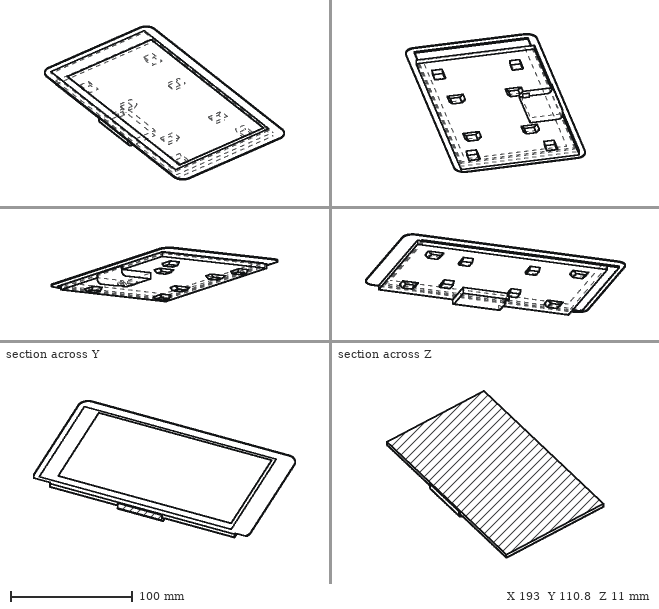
import cadquery as cq

GLASS_LENGTH = 193.0
GLASS_WIDTH = 110.8
GLASS_THICKNESS = 0.8
GLASS_CORNER_RADIUS = 8.7

WINDOW_LENGTH = 154.4
WINDOW_WIDTH = 86.3
WINDOW_CENTER_Y = 1.0
WINDOW_DEPTH = 0.1

LAYER_X = (-91.5, 79.9)
LAYER_Y = (-48.5, 47.5)
LAYER_BOTTOM = -2.1

BODY_X = (-80.9, 84.1)
BODY_Y = (-51.5, 48.5)
BODY_BOTTOM = -5.8

RIBBON_X = (-20.3, 19.7)
RIBBON_Y = (-52.3, -24.7)
RIBBON_TOP = -2.5
RIBBON_BOTTOM = -11.0
RIBBON_FOLD_RADIUS = 4.2

NOTCH_Y = (-33.0, -27.5)
NOTCH_DEPTH = 1.7

FOOT_BASE_LENGTH = 13.5
FOOT_TIP_LENGTH = 8.1
FOOT_WIDTH = 8.5
FOOT_BOTTOM = -8.3
OUTER_FEET_X = (-61.4, 64.5)
OUTER_FEET_Y = (-31.8, 33.8)
INNER_FEET_X = (-22.8, 35.3)
INNER_FEET_Y = (-21.2, 28.0)


def block(x_range, y_range, bottom, top):
    """Box spanning the given ranges along X, Y and Z."""
    size = (x_range[1] - x_range[0], y_range[1] - y_range[0], top - bottom)
    return cq.Workplane("XY").box(*size, centered=False).translate((x_range[0], y_range[0], bottom))


def make_glass():
    glass = block(
        (-GLASS_LENGTH / 2, GLASS_LENGTH / 2),
        (-GLASS_WIDTH / 2, GLASS_WIDTH / 2),
        -GLASS_THICKNESS,
        0,
    )
    glass = glass.edges("|Z").fillet(GLASS_CORNER_RADIUS)
    window = block(
        (-WINDOW_LENGTH / 2, WINDOW_LENGTH / 2),
        (WINDOW_CENTER_Y - WINDOW_WIDTH / 2, WINDOW_CENTER_Y + WINDOW_WIDTH / 2),
        -WINDOW_DEPTH,
        0,
    )
    return glass.cut(window)


def make_ribbon():
    ribbon = block(RIBBON_X, RIBBON_Y, RIBBON_BOTTOM, RIBBON_TOP)
    ribbon = ribbon.edges("|X and <Y and <Z").fillet(RIBBON_FOLD_RADIUS)
    notch = (
        cq.Workplane("XZ", origin=(0, NOTCH_Y[1], 0))
        .moveTo(RIBBON_X[0], FOOT_BOTTOM)
        .lineTo(RIBBON_X[0], RIBBON_BOTTOM)
        .lineTo(RIBBON_X[0] + NOTCH_DEPTH, RIBBON_BOTTOM)
        .close()
        .extrude(NOTCH_Y[1] - NOTCH_Y[0])
    )
    return ribbon.cut(notch)


def make_foot():
    """Foot on the body underside, long along X and centred on the Z axis."""
    half_base = FOOT_BASE_LENGTH / 2
    half_tip = FOOT_TIP_LENGTH / 2
    profile = [
        (-half_base, BODY_BOTTOM),
        (half_base, BODY_BOTTOM),
        (half_tip, FOOT_BOTTOM),
        (-half_tip, FOOT_BOTTOM),
    ]
    return cq.Workplane("XZ").polyline(profile).close().extrude(FOOT_WIDTH / 2, both=True)


def add_feet(part, foot, x_positions, y_positions):
    for x in x_positions:
        for y in y_positions:
            part = part.union(foot.translate((x, y, 0)))
    return part


result = (
    make_glass()
    .union(block(LAYER_X, LAYER_Y, LAYER_BOTTOM, -GLASS_THICKNESS))
    .union(block(BODY_X, BODY_Y, BODY_BOTTOM, LAYER_BOTTOM))
    .union(make_ribbon())
)

outer_foot = make_foot()
inner_foot = outer_foot.rotate((0, 0, 0), (0, 0, 1), 90)
result = add_feet(result, outer_foot, OUTER_FEET_X, OUTER_FEET_Y)
result = add_feet(result, inner_foot, INNER_FEET_X, INNER_FEET_Y)